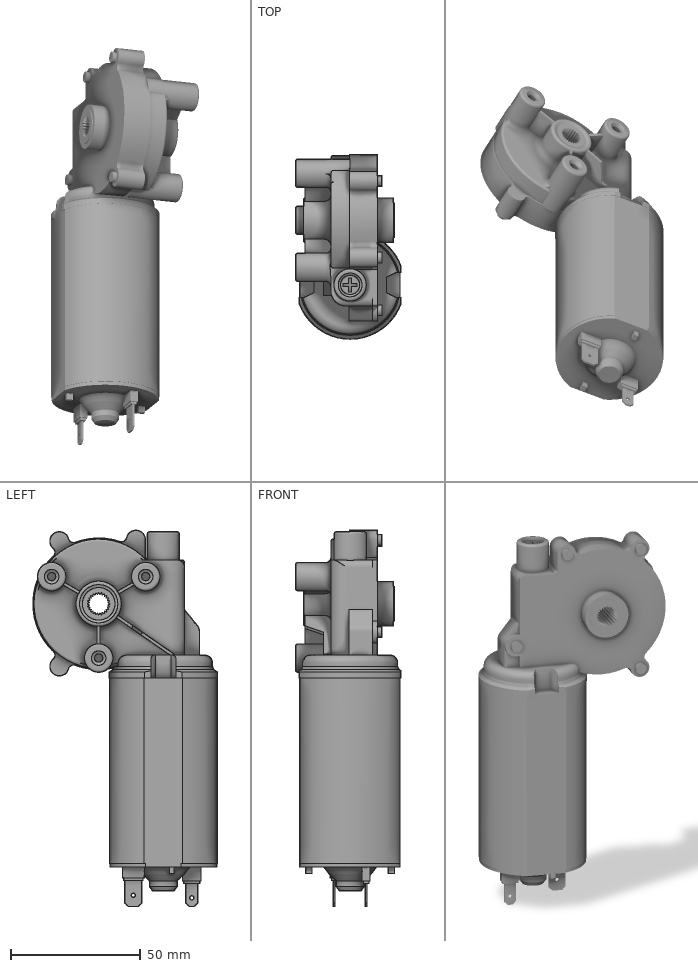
import cadquery as cq
import math


OVERALL_HEIGHT = 145.5
ARC_MIDPOINT = math.sqrt(0.5)

FLANGE_RADIUS = 25.46
FACE_RADIUS = 25.0
FACE_ROUND = 1.0
FACE_X = -7.5
FLANGE_X = -0.3
COVER_X = 8.7
BACK_X = 10.55

EAR_RADIUS = 3.7
EAR_BLEND = 2.0
EAR_CENTERS = [(15.2, 24.2), (-14.4, 24.75), (15.2, -24.2)]
WORM_SIDE_EAR = 1
BRACKET_SCREW = (-34.8, -10.9)
SCREW_RADIUS = 2.1
SCREW_LENGTH = 1.75

BOSS_CIRCLE = 21.0
BOSS_ANGLES = [30, 150, 270]
BOSS_RADIUS = 5.5
BOSS_X = -21.1
BOSS_EDGE = 0.9
BOSS_BLEND = 1.8
BOSS_HOLE_RADIUS = 1.6
BOSS_HOLE_DEPTH = 12.0
BOSS_SINK_RADIUS = 2.8

HUB_RADIUS = 8.75
HUB_X = -18.0
HUB_EDGE = 0.9
HUB_BLEND = 2.8
DISH_RIM_RADIUS = 7.4
DISH_FLOOR_RADIUS = 6.3
DISH_DEPTH = 0.5
BORE_TIP_RADIUS = 3.6
BORE_ROOT_RADIUS = 4.35
BORE_TEETH = 24
REAR_HUB_RADIUS = 8.65
REAR_HUB_X = 16.7
REAR_RING_RADIUS = 6.7
REAR_RING_X = 17.1

RIB_THICKNESS = 1.2
RIB_X = -17.5
RIB_OVERLAP = 1.0
RIB_ROOT = HUB_RADIUS - RIB_OVERLAP
RIB_END = BOSS_CIRCLE - BOSS_RADIUS + RIB_OVERLAP
BRACE_ANGLE = 214.7
BRACE_LOW_X = -10.4
BRACE_STEP_START = 15.8
BRACE_STEP_END = 20.2
BRACE_END = 35.0

MOTOR_Y = -25.0
WORM_SIDE_Y = -33.2
WORM_INNER_Y = -10.0
WORM_TOP_Z = 16.9
WORM_CORNER = 6.1
WORM_TOP_ROUND = 2.7
COVER_TOP_ROUND = 1.0
NECK_RADIUS = 6.25
NECK_TOP_Z = 27.9
NECK_EDGE = 1.0
PLUG_RIM_RADIUS = 4.6
PLUG_RADIUS = 3.7
PLUG_RECESS = 1.0
PLUG_SLOT_LENGTH = 5.4
PLUG_SLOT_WIDTH = 1.1
PLUG_SLOT_DEPTH = 1.5

BRACKET_OVERLAP = 1.0
BRACKET_X = -0.5
BRACKET_Y = -39.0
BRACKET_TOP_Z = -2.3
BRACKET_CORNER_Z = -9.5
BRACKET_ROUND = 3.9

MOTOR_RADIUS = 21.0
CAN_FLATS = (-19.55, 19.35)
COLLAR_FLATS = (-19.7, 19.63)
CAP_TOP_Z = -19.85
CAP_RADIUS = 19.0
SEAT_Z = CAP_TOP_Z - 1.5
CAP_ROUND = 3.0
FLARE_TOP_Z = -24.2
COLLAR_TOP_Z = -25.4
COLLAR_EDGE_Z = -26.4
COLLAR_TOP_RADIUS = 19.5
CAN_TOP_Z = -28.6
CAN_RADIUS = 20.9
CRIMP_Z = -100.4
CRIMP_RADIUS = 20.7
CAN_BOTTOM_Z = -101.8

NOTCH_INNER_X = 14.0
NOTCH_MOUTH_X = 17.7
NOTCH_INNER_HALF = 3.0
NOTCH_MOUTH_HALF = 4.8

BEARING_PROFILE = [(10.2, CAN_BOTTOM_Z), (8.1, -104.5), (5.4, -107.1), (5.4, -109.3), (4.2, -111.0)]
PIN_X = 15.95
PIN_Y_OFFSET = 3.2
PIN_SIZE = (2.5, 1.8)
PIN_BOTTOM_Z = -104.3

TERMINAL_X = 6.2
BLOCK_THICKNESS = 3.1
BLOCK_STEP = 1.0
BLOCK_INSET = 0.45
BLADE_THICKNESS = 0.8
BLADE_SHOULDER_Z = -115.7
BLADE_BOTTOM_Z = EAR_CENTERS[WORM_SIDE_EAR][1] + EAR_RADIUS - OVERALL_HEIGHT
BLADE_TIP_INSET = 1.4
BLADE_HOLE_RADIUS = 0.75

WIDE_TERMINAL_Y = -13.4
WIDE_BLOCK_WIDTH = 8.5
WIDE_BLOCK_BOTTOM_Z = -106.0
WIDE_BLADE_WIDTH = 6.7
WIDE_BLADE_HOLE_Z = -112.7

NARROW_TERMINAL_Y = -36.0
NARROW_BLOCK_WIDTH = 7.2
NARROW_BLOCK_BOTTOM_Z = -107.2
NARROW_BLADE_WIDTH = 4.7
NARROW_BLADE_HOLE_Z = -113.7


def disc_x(x_start, x_end, radius, y=0.0, z=0.0):
    """Cylinder along X."""
    return cq.Workplane("YZ", origin=(x_start, y, z)).circle(radius).extrude(x_end - x_start)


def box_between(x_range, y_range, z_range):
    sizes = [high - low for low, high in (x_range, y_range, z_range)]
    return cq.Workplane("XY").box(*sizes, centered=False).translate((x_range[0], y_range[0], z_range[0]))


def on_circle(radius, angle):
    return radius * math.cos(math.radians(angle)), radius * math.sin(math.radians(angle))


def blended_post(radius, x_end, edge, blend):
    """Round post rising from the housing face toward -X, with a concave foot and a rounded end."""
    foot = FACE_X
    blend_offset = blend * (1 - ARC_MIDPOINT)
    edge_offset = edge * (1 - ARC_MIDPOINT)
    return (
        cq.Workplane("XY")
        .moveTo(0, 0)
        .lineTo(0, radius)
        .lineTo(foot, radius)
        .lineTo(foot, radius + blend)
        .threePointArc((foot - blend_offset, radius + blend_offset), (foot - blend, radius))
        .lineTo(x_end + edge, radius)
        .threePointArc((x_end + edge_offset, radius - edge_offset), (x_end, radius - edge))
        .lineTo(x_end, 0)
        .close()
        .revolve(360, (0, 0, 0), (1, 0, 0))
    )


def gear_housing():
    flange = disc_x(FLANGE_X, BACK_X, FLANGE_RADIUS)
    for y, z in EAR_CENTERS:
        flange = flange.union(disc_x(FLANGE_X, BACK_X, EAR_RADIUS, y, z))
    flange = flange.edges("|X").fillet(EAR_BLEND)
    y, z = EAR_CENTERS[WORM_SIDE_EAR]
    web = box_between((FLANGE_X, BACK_X), (y - EAR_RADIUS, y), (WORM_TOP_Z - EAR_RADIUS, z))
    face = disc_x(FACE_X, 0, FACE_RADIUS).faces("<X").edges().fillet(FACE_ROUND)
    return flange.union(web).union(face)


def worm_side_profile(x_start, x_end, top_round):
    """Side outline of the worm housing with its upper outer corner rounded."""
    outline = box_between((x_start, x_end), (WORM_SIDE_Y, WORM_INNER_Y), (SEAT_Z, WORM_TOP_Z))
    return outline.edges("|X and >Z and <Y").fillet(top_round)


def worm_housing():
    body = worm_side_profile(FACE_X, COVER_X, WORM_TOP_ROUND)
    plan = box_between((FACE_X, COVER_X), (WORM_SIDE_Y, WORM_INNER_Y), (SEAT_Z, WORM_TOP_Z))
    plan = plan.edges("|Z and <X and <Y").fillet(WORM_CORNER)
    return body.intersect(plan).union(worm_side_profile(COVER_X, BACK_X, COVER_TOP_ROUND))


def bracket():
    bracket_root_y = WORM_SIDE_Y + BRACKET_OVERLAP
    block = (
        cq.Workplane("YZ", origin=(BRACKET_X, 0, 0))
        .moveTo(bracket_root_y, SEAT_Z)
        .lineTo(BRACKET_Y, SEAT_Z)
        .lineTo(BRACKET_Y, BRACKET_CORNER_Z)
        .lineTo(WORM_SIDE_Y, BRACKET_TOP_Z)
        .lineTo(bracket_root_y, BRACKET_TOP_Z)
        .close()
        .extrude(COVER_X - BRACKET_X)
    )
    corner = cq.selectors.NearestToPointSelector(((BRACKET_X + COVER_X) / 2, BRACKET_Y, BRACKET_CORNER_Z))
    block = block.edges("|X").edges(corner).fillet(BRACKET_ROUND)
    y, z = BRACKET_SCREW
    lobe_radius = y - BRACKET_Y
    lobe = disc_x(COVER_X, BACK_X, lobe_radius, y, z)
    lobe_root = box_between((COVER_X, BACK_X), (y, bracket_root_y), (z - lobe_radius, z + lobe_radius))
    return block.union(lobe).union(lobe_root)


def neck():
    """Adjuster neck above the worm, closed by a cross-slotted plug."""
    post = (
        cq.Workplane("XY", origin=(0, MOTOR_Y, SEAT_Z))
        .circle(NECK_RADIUS)
        .extrude(NECK_TOP_Z - SEAT_Z)
        .faces(">Z")
        .edges()
        .fillet(NECK_EDGE)
    )
    plug_z = NECK_TOP_Z - PLUG_RECESS
    top = cq.Workplane("XY", origin=(0, MOTOR_Y, plug_z))
    recess = cq.Workplane(cq.Solid.makeCone(PLUG_RADIUS, PLUG_RIM_RADIUS, PLUG_RECESS,
                                            cq.Vector(0, MOTOR_Y, plug_z), cq.Vector(0, 0, 1)))
    slot = top.rect(PLUG_SLOT_LENGTH, PLUG_SLOT_WIDTH).extrude(-PLUG_SLOT_DEPTH)
    cross_slot = top.rect(PLUG_SLOT_WIDTH, PLUG_SLOT_LENGTH).extrude(-PLUG_SLOT_DEPTH)
    return post.cut(recess).cut(slot).cut(cross_slot)


def boss(angle):
    """Mounting boss whose blended foot stays on the housing face."""
    y, z = on_circle(BOSS_CIRCLE, angle)
    post = blended_post(BOSS_RADIUS, BOSS_X, BOSS_EDGE, BOSS_BLEND).translate((0, y, z))
    foot_limit = disc_x(BOSS_X, 0, FACE_RADIUS - FACE_ROUND)
    foot_limit = foot_limit.union(disc_x(BOSS_X, 0, BOSS_RADIUS, y, z))
    worm_face = box_between((BOSS_X, 0), (WORM_SIDE_Y, WORM_INNER_Y), (CAP_TOP_Z, WORM_TOP_Z))
    foot_limit = foot_limit.union(worm_face)
    return post.intersect(foot_limit)


def boss_hole(angle):
    y, z = on_circle(BOSS_CIRCLE, angle)
    sink_depth = BOSS_SINK_RADIUS - BOSS_HOLE_RADIUS
    hole = disc_x(BOSS_X, BOSS_X + BOSS_HOLE_DEPTH, BOSS_HOLE_RADIUS, y, z)
    sink = cq.Solid.makeCone(BOSS_SINK_RADIUS, BOSS_HOLE_RADIUS, sink_depth,
                             cq.Vector(BOSS_X, y, z), cq.Vector(1, 0, 0))
    return hole.union(cq.Workplane(sink))


def radial_rib(angle, points):
    """Thin plate on a half-plane through the gear axis; points are (distance from axis, X)."""
    plane = cq.Plane(origin=(0, 0, 0), xDir=(0, 1, 0), normal=(0, 0, 1))
    plate = cq.Workplane(plane).polyline([(r, -x) for r, x in points]).close()
    return plate.extrude(RIB_THICKNESS / 2, both=True).rotate((0, 0, 0), (1, 0, 0), angle)


def ribs():
    plain = [(RIB_ROOT, 0), (RIB_ROOT, RIB_X), (RIB_END, RIB_X), (RIB_END, 0)]
    brace = [(RIB_ROOT, 0), (RIB_ROOT, RIB_X), (BRACE_STEP_START, RIB_X), (BRACE_STEP_END, BRACE_LOW_X),
             (BRACE_END, BRACE_LOW_X), (BRACE_END, 0)]
    group = radial_rib(BRACE_ANGLE, brace)
    for angle in BOSS_ANGLES:
        group = group.union(radial_rib(angle, plain))
    return group


def output_hub():
    hub = blended_post(HUB_RADIUS, HUB_X, HUB_EDGE, HUB_BLEND)
    dish = cq.Solid.makeCone(DISH_RIM_RADIUS, DISH_FLOOR_RADIUS, DISH_DEPTH,
                             cq.Vector(HUB_X, 0, 0), cq.Vector(1, 0, 0))
    rear = disc_x(0, REAR_HUB_X, REAR_HUB_RADIUS).union(disc_x(0, REAR_RING_X, REAR_RING_RADIUS))
    return hub.cut(cq.Workplane(dish)).union(rear)


def bore():
    points = []
    for step in range(2 * BORE_TEETH):
        radius = BORE_TIP_RADIUS if step % 2 else BORE_ROOT_RADIUS
        points.append(on_circle(radius, step * 180 / BORE_TEETH))
    return cq.Workplane("YZ", origin=(HUB_X, 0, 0)).polyline(points).close().extrude(REAR_RING_X - HUB_X)


def cover_screws():
    group = cq.Workplane("XY")
    for y, z in EAR_CENTERS + [BRACKET_SCREW]:
        group = group.union(disc_x(COVER_X, BACK_X + SCREW_LENGTH, SCREW_RADIUS, y, z))
    return group


def flat_sided(solid, flats):
    """Keep only the part of a motor section between its two side flats."""
    reach = 2 * MOTOR_RADIUS
    keep = box_between(flats, (MOTOR_Y - reach, MOTOR_Y + reach), (CAN_BOTTOM_Z, CAP_TOP_Z))
    return solid.intersect(keep)


def cap_notch(side):
    outline = [(NOTCH_INNER_X, NOTCH_INNER_HALF), (NOTCH_MOUTH_X, NOTCH_MOUTH_HALF),
               (MOTOR_RADIUS, NOTCH_MOUTH_HALF), (MOTOR_RADIUS, -NOTCH_MOUTH_HALF),
               (NOTCH_MOUTH_X, -NOTCH_MOUTH_HALF), (NOTCH_INNER_X, -NOTCH_INNER_HALF)]
    return (
        cq.Workplane("XY", origin=(0, MOTOR_Y, CAN_TOP_Z))
        .polyline([(side * x, y) for x, y in outline])
        .close()
        .extrude(CAP_TOP_Z - CAN_TOP_Z)
    )


def motor():
    can = cq.Workplane("XY", origin=(0, MOTOR_Y, CRIMP_Z)).circle(CAN_RADIUS).extrude(CAN_TOP_Z - CRIMP_Z)
    crimp = cq.Workplane("XY", origin=(0, MOTOR_Y, CAN_BOTTOM_Z)).circle(CRIMP_RADIUS)
    can = can.union(crimp.extrude(CRIMP_Z - CAN_BOTTOM_Z))
    can = flat_sided(can, CAN_FLATS)
    cap_face_radius = CAP_RADIUS - CAP_ROUND
    round_drop = CAP_ROUND * (1 - ARC_MIDPOINT)
    round_middle = (CAP_RADIUS - round_drop, CAP_TOP_Z - round_drop)
    cap = (
        cq.Workplane("XZ", origin=(0, MOTOR_Y, 0))
        .moveTo(0, CAN_TOP_Z)
        .lineTo(MOTOR_RADIUS, CAN_TOP_Z)
        .lineTo(MOTOR_RADIUS, COLLAR_EDGE_Z)
        .lineTo(COLLAR_TOP_RADIUS, COLLAR_TOP_Z)
        .lineTo(CAP_RADIUS, FLARE_TOP_Z)
        .lineTo(CAP_RADIUS, CAP_TOP_Z - CAP_ROUND)
        .threePointArc(round_middle, (cap_face_radius, CAP_TOP_Z))
        .lineTo(0, CAP_TOP_Z)
        .close()
        .revolve(360, (0, 0, 0), (0, 1, 0))
    )
    cap = flat_sided(cap, COLLAR_FLATS)
    for side in (-1, 1):
        cap = cap.cut(cap_notch(side))
    return can.union(cap)


def bearing_nose():
    outline = [(0, CAN_BOTTOM_Z)] + BEARING_PROFILE + [(0, BEARING_PROFILE[-1][1])]
    nose = cq.Workplane("XZ", origin=(0, MOTOR_Y, 0)).polyline(outline).close()
    return nose.revolve(360, (0, 0, 0), (0, 1, 0))


def end_pins():
    group = cq.Workplane("XY")
    for side in (-1, 1):
        pin = cq.Workplane("XY", origin=(side * PIN_X, MOTOR_Y + side * PIN_Y_OFFSET, PIN_BOTTOM_Z))
        group = group.union(pin.rect(*PIN_SIZE).extrude(CAN_BOTTOM_Z - PIN_BOTTOM_Z))
    return group


def terminal(x, y, block_width, block_bottom_z, blade_width, hole_z):
    block = cq.Workplane("XY", origin=(x, y, CAN_BOTTOM_Z)).rect(BLOCK_THICKNESS, block_width)
    block = block.extrude(block_bottom_z - CAN_BOTTOM_Z)
    foot = cq.Workplane("XY", origin=(x, y, block_bottom_z))
    foot = foot.rect(BLOCK_THICKNESS - 2 * BLOCK_INSET, block_width - 2 * BLOCK_INSET).extrude(-BLOCK_STEP)
    half = blade_width / 2
    tip = half - BLADE_TIP_INSET
    blade = (
        cq.Workplane("YZ", origin=(x, y, 0))
        .polyline([(-half, block_bottom_z), (-half, BLADE_SHOULDER_Z), (-tip, BLADE_BOTTOM_Z),
                   (tip, BLADE_BOTTOM_Z), (half, BLADE_SHOULDER_Z), (half, block_bottom_z)])
        .close()
        .extrude(BLADE_THICKNESS / 2, both=True)
    )
    hole = disc_x(x - BLADE_THICKNESS, x + BLADE_THICKNESS, BLADE_HOLE_RADIUS, y, hole_z)
    return block.union(foot).union(blade.cut(hole))


part = gear_housing().union(worm_housing()).union(bracket()).union(neck())
part = part.union(output_hub()).union(ribs()).union(cover_screws())
for boss_angle in BOSS_ANGLES:
    part = part.union(boss(boss_angle))
for boss_angle in BOSS_ANGLES:
    part = part.cut(boss_hole(boss_angle))
part = part.cut(bore())

wide_terminal = terminal(-TERMINAL_X, WIDE_TERMINAL_Y, WIDE_BLOCK_WIDTH, WIDE_BLOCK_BOTTOM_Z,
                         WIDE_BLADE_WIDTH, WIDE_BLADE_HOLE_Z)
narrow_terminal = terminal(TERMINAL_X, NARROW_TERMINAL_Y, NARROW_BLOCK_WIDTH, NARROW_BLOCK_BOTTOM_Z,
                           NARROW_BLADE_WIDTH, NARROW_BLADE_HOLE_Z)
part = part.union(motor()).union(bearing_nose()).union(end_pins())
result = part.union(wide_terminal).union(narrow_terminal)